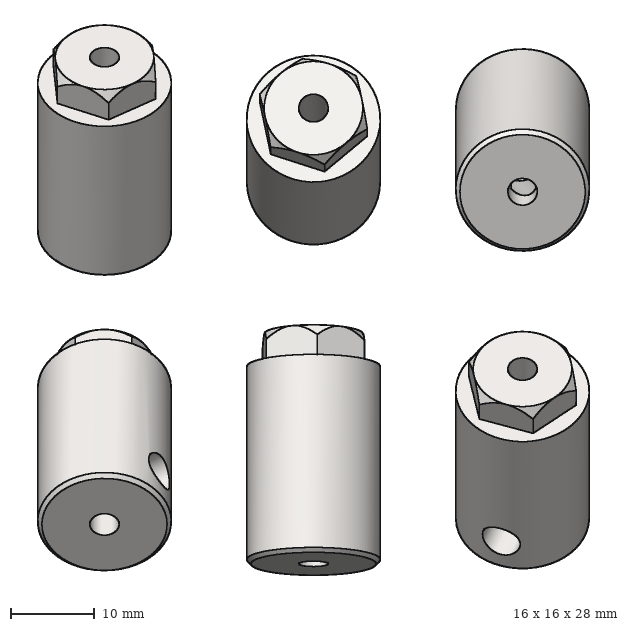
import cadquery as cq
import math

total_height = 28.0
body_diameter = 16.0
hex_height = 4.0
hex_across_flats = 11.8
bore_diameter = 3.5
bottom_chamfer = 0.5
hex_bevel_angle = 56.0
side_hole_diameter = 4.8
side_hole_height = 5.0

body_height = total_height - hex_height
body_radius = body_diameter / 2
hex_across_corners = hex_across_flats / math.cos(math.pi / 6)
bevel_radius = hex_across_flats / 2
bevel_slope = math.tan(math.radians(hex_bevel_angle))


def make_body():
    """Round body with a chamfered bottom rim."""
    body = cq.Workplane("XY").circle(body_radius).extrude(body_height)
    return body.faces("<Z").edges().chamfer(bottom_chamfer)


def make_hex_head():
    """Hexagon with corners on X, its top corners bevelled by a cone."""
    head = (
        cq.Workplane("XY")
        .workplane(offset=body_height)
        .polygon(6, hex_across_corners)
        .extrude(hex_height)
    )
    base_radius = bevel_radius + hex_height / bevel_slope
    cone = (
        cq.Workplane("XZ")
        .moveTo(0, body_height)
        .lineTo(base_radius, body_height)
        .lineTo(bevel_radius, total_height)
        .lineTo(0, total_height)
        .close()
        .revolve(360, (0, 0, 0), (0, 1, 0))
    )
    return head.intersect(cone)


def make_bore():
    """Axial hole through the whole part."""
    return cq.Workplane("XY").circle(bore_diameter / 2).extrude(total_height)


def make_side_hole():
    """Radial hole from the +Y side into the bore."""
    return (
        cq.Workplane("XZ")
        .center(0, side_hole_height)
        .circle(side_hole_diameter / 2)
        .extrude(-body_radius)
    )


def make_part():
    """Body and head with the bore and the side hole cut out."""
    solid = make_body().union(make_hex_head())
    return solid.cut(make_bore()).cut(make_side_hole())


result = make_part()